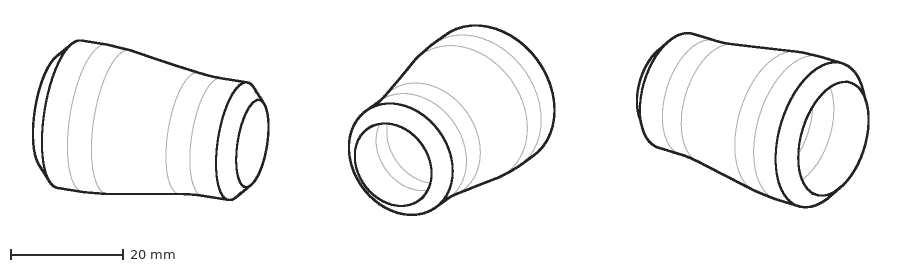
import cadquery as cq
import math

LENGTH = 38.0
LARGE_RADIUS = 13.357
SMALL_RADIUS = 10.65
LARGE_BEVEL = 2.9
SMALL_BEVEL = 2.77
STRAIGHT_LENGTH = 7.8
BEND_TANGENT = 2.25


def reducing_bends(large_radius, small_radius):
    """Points of the S-shaped wall: two tangent arcs joined by a straight taper."""
    drop = large_radius - small_radius
    taper_run = LENGTH - 2 * STRAIGHT_LENGTH - 2 * BEND_TANGENT
    angle = math.atan2(drop, taper_run)
    bend_radius = BEND_TANGENT / math.tan(angle / 2)

    def bend_offset(turn):
        return bend_radius * math.sin(turn), bend_radius * (1 - math.cos(turn))

    mid_x, mid_drop = bend_offset(angle / 2)
    end_x, end_drop = bend_offset(angle)
    large_x = STRAIGHT_LENGTH
    small_x = LENGTH - STRAIGHT_LENGTH
    return [
        (large_x, large_radius),
        (large_x + mid_x, large_radius - mid_drop),
        (large_x + end_x, large_radius - end_drop),
        (small_x - end_x, small_radius + end_drop),
        (small_x - mid_x, small_radius + mid_drop),
        (small_x, small_radius),
    ]


def add_bends(sketch, points):
    """Continue a sketch along a reducing wall, in the order of its points."""
    start, first_mid, first_end, second_start, second_mid, end = points
    sketch = sketch.lineTo(*start).threePointArc(first_mid, first_end)
    return sketch.lineTo(*second_start).threePointArc(second_mid, end)


large_bore = LARGE_RADIUS - LARGE_BEVEL
small_bore = SMALL_RADIUS - SMALL_BEVEL
outer_wall = reducing_bends(LARGE_RADIUS, SMALL_RADIUS)
inner_wall = reducing_bends(large_bore, small_bore)

section = cq.Workplane("XY").moveTo(0, large_bore).lineTo(LARGE_BEVEL, LARGE_RADIUS)
section = add_bends(section, outer_wall)
section = section.lineTo(LENGTH - SMALL_BEVEL, SMALL_RADIUS).lineTo(LENGTH, small_bore)
section = add_bends(section, inner_wall[::-1]).close()

result = section.revolve(360, (0, 0, 0), (1, 0, 0))